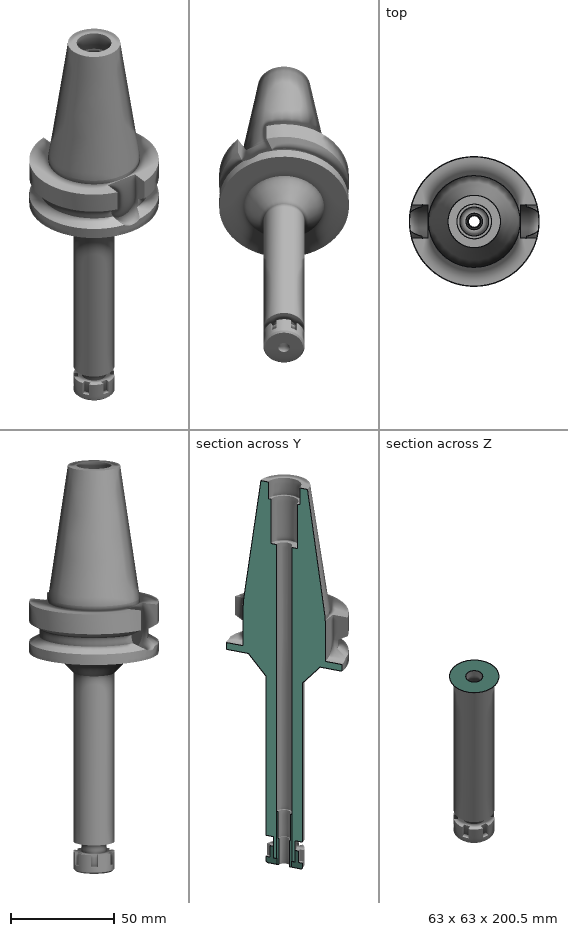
import cadquery as cq
import math

total_height = 200.5
taper_length = 65.3
flange_gap = 2.0
flange_thickness = 25.0
gauge_z = total_height - taper_length
flange_top_z = gauge_z - flange_gap
flange_bottom_z = flange_top_z - flange_thickness
shank_bottom_z = 14.2
nut_top_z = 9.5

taper_ratio = 7 / 24
taper_large_radius = 22.2
taper_small_radius = taper_large_radius - taper_length * taper_ratio / 2

flange_radius = 31.5
groove_radius = 26.5
groove_floor_width = 4.2
groove_wall_angle = 30.0
groove_center_depth = 14.8
groove_wall_height = (flange_radius - groove_radius) * math.tan(math.radians(groove_wall_angle))
groove_floor_top_z = flange_top_z - groove_center_depth + groove_floor_width / 2
groove_floor_bottom_z = groove_floor_top_z - groove_floor_width

drive_slot_width = 16.2
drive_slot_depth = 21.2
drive_slot_floor_x = 22.5

shank_radius = 10.0
shoulder_height = 10.0
shoulder_radius = 19.5
nose_radius = 6.0
nose_bottom_z = 3.0

mouth_radius = 8.5
mouth_depth = 8.8
thread_radius = 7.0
thread_depth = 32.0
bore_radius = 4.0

collet_length = 28.0
collet_hole_radius = 2.8
collet_relief_radius = 3.2
collet_grip_length = 14.0

nut_radius = shank_radius
nut_chamfer = 0.8
wrench_slot_count = 6
wrench_slot_width = 3.2
wrench_slot_height = 6.0
wrench_slot_depth = 2.2


def cylinder(radius, bottom_z, top_z):
    """Upright cylinder on the spindle axis."""
    return cq.Workplane("XY").workplane(offset=bottom_z).circle(radius).extrude(top_z - bottom_z)


def holder_blank():
    """Solid of revolution: taper, grooved flange, shoulder, shank and nose."""
    half_profile = [
        (0, nose_bottom_z),
        (nose_radius, nose_bottom_z),
        (nose_radius, shank_bottom_z),
        (shank_radius, shank_bottom_z),
        (shank_radius, flange_bottom_z - shoulder_height),
        (shoulder_radius, flange_bottom_z),
        (flange_radius, flange_bottom_z),
        (flange_radius, groove_floor_bottom_z - groove_wall_height),
        (groove_radius, groove_floor_bottom_z),
        (groove_radius, groove_floor_top_z),
        (flange_radius, groove_floor_top_z + groove_wall_height),
        (flange_radius, flange_top_z),
        (taper_large_radius, flange_top_z),
        (taper_large_radius, gauge_z),
        (taper_small_radius, total_height),
        (0, total_height),
    ]
    return cq.Workplane("XZ").polyline(half_profile).close().revolve(360, (0, 0, 0), (0, 1, 0))


def holder_bore():
    """Draw-bar mouth, thread hole and through bore, all open to the top."""
    mouth = cylinder(mouth_radius, total_height - mouth_depth, total_height)
    thread_hole = cylinder(thread_radius, total_height - thread_depth, total_height)
    through_bore = cylinder(bore_radius, nose_bottom_z, total_height)
    return mouth.union(thread_hole).union(through_bore)


def drive_slot(side):
    """U-shaped slot cutter, open at the flange top; side is -1 or +1 along X."""
    half_width = drive_slot_width / 2
    round_bottom_z = flange_top_z - drive_slot_depth
    round_center_z = round_bottom_z + half_width
    return (
        cq.Workplane("YZ")
        .workplane(offset=side * drive_slot_floor_x)
        .moveTo(-half_width, flange_top_z)
        .lineTo(-half_width, round_center_z)
        .threePointArc((0, round_bottom_z), (half_width, round_center_z))
        .lineTo(half_width, flange_top_z)
        .close()
        .extrude(side * (flange_radius - drive_slot_floor_x))
    )


def make_holder():
    body = holder_blank().cut(holder_bore())
    for side in (-1, 1):
        body = body.cut(drive_slot(side))
    return body


def make_collet():
    """Sleeve that fills the lower end of the holder bore and the nut opening."""
    sleeve = cylinder(bore_radius, 0, collet_length)
    grip_hole = cylinder(collet_hole_radius, 0, collet_grip_length)
    relief_hole = cylinder(collet_relief_radius, collet_grip_length, collet_length)
    return sleeve.cut(grip_hole).cut(relief_hole)


def wrench_slot(angle):
    """Box cutter for one wrench slot, open at the nut top and its outer side."""
    floor_radius = nut_radius - wrench_slot_depth
    return (
        cq.Workplane("XY")
        .box(2 * wrench_slot_depth, wrench_slot_width, wrench_slot_height, centered=(False, True, False))
        .translate((floor_radius, 0, nut_top_z - wrench_slot_height))
        .rotate((0, 0, 0), (0, 0, 1), angle)
    )


def make_nut():
    body = cylinder(nut_radius, 0, nut_top_z).faces("<Z").chamfer(nut_chamfer)
    body = body.cut(cylinder(nose_radius, nose_bottom_z, nut_top_z))
    body = body.cut(cylinder(bore_radius, 0, nose_bottom_z))
    for index in range(wrench_slot_count):
        body = body.cut(wrench_slot(index * 360 / wrench_slot_count))
    return body


holder = make_holder()
collet = make_collet()
nut = make_nut()

result = cq.Compound.makeCompound([holder.val(), collet.val(), nut.val()])